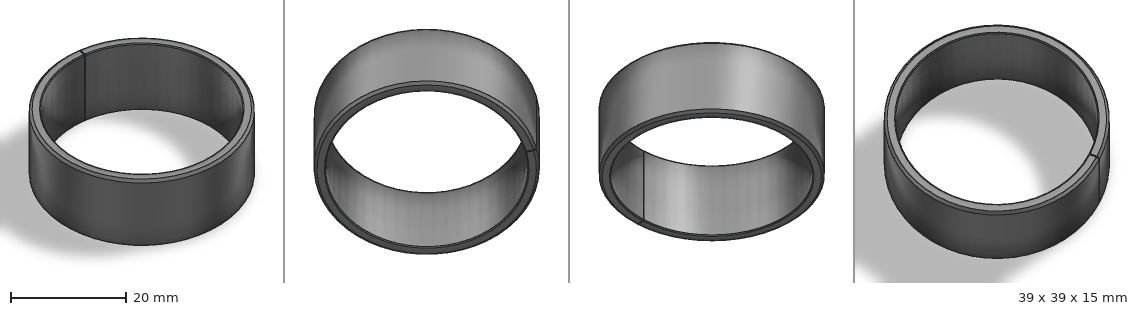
import cadquery as cq

outer_diameter = 39.0
wall_thickness = 2.0
height = 15.0
outer_chamfer = 0.5
inner_chamfer = 0.2
slit_width = 0.2

outer_radius = outer_diameter / 2
inner_radius = outer_radius - wall_thickness
half_height = height / 2

wall_profile = (
    cq.Workplane("XZ")
    .moveTo(inner_radius + inner_chamfer, -half_height)
    .lineTo(outer_radius - outer_chamfer, -half_height)
    .lineTo(outer_radius, -half_height + outer_chamfer)
    .lineTo(outer_radius, half_height - outer_chamfer)
    .lineTo(outer_radius - outer_chamfer, half_height)
    .lineTo(inner_radius + inner_chamfer, half_height)
    .lineTo(inner_radius, half_height - inner_chamfer)
    .lineTo(inner_radius, -half_height + inner_chamfer)
    .close()
)
sleeve = wall_profile.revolve(360, (0, 0, 0), (0, 1, 0))
sleeve = sleeve.rotate((0, 0, 0), (0, 0, 1), 180)

slit = (
    cq.Workplane("XY")
    .box(outer_radius, slit_width, height)
    .translate((-outer_radius, slit_width / 2, 0))
)

result = sleeve.cut(slit)